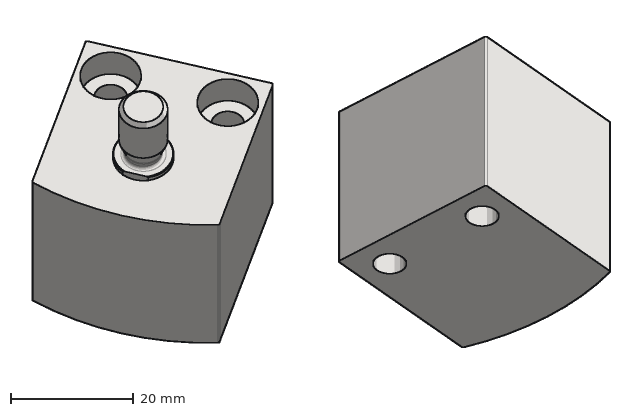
import cadquery as cq
import math

total_height = 43.5
block_width = 32.0
block_length = 33.9
block_height = 30.5
back_y = 21.0
front_y = back_y - block_length
front_radius = 50.02
corner_radius = 0.35

hole_spacing = 20.0
hole_y = back_y - 6.0
hole_diameter = 5.5
counterbore_diameter = 10.0
counterbore_depth = 5.6

shank_diameter = 10.0
socket_depth = 10.0
collar_height = 0.9
collar_chamfer = 0.15
flats_width = 9.0
neck_radius = 6.2 / 2
neck_fillet = 0.6
neck_top = 2.0
blend_radius = 1.0
cone_angle = math.radians(20)
head_radius = 8.0 / 2
head_chamfer = 0.75

socket_floor_z = block_height - socket_depth


def make_block():
    """Block with a convex front face, two counterbored holes and a round blind socket for the pin."""
    half_width = block_width / 2
    front_bulge = front_radius - math.sqrt(front_radius**2 - half_width**2)
    side_front_y = front_y + front_bulge
    body = (
        cq.Workplane("XY")
        .moveTo(-half_width, back_y)
        .lineTo(-half_width, side_front_y)
        .threePointArc((0, front_y), (half_width, side_front_y))
        .lineTo(half_width, back_y)
        .close()
        .extrude(block_height)
        .edges("|Z")
        .fillet(corner_radius)
    )
    top = body.faces(">Z").workplane(origin=(0, 0, block_height))
    body = top.pushPoints([(side * hole_spacing / 2, hole_y) for side in (-1, 1)]).cboreHole(
        hole_diameter, counterbore_diameter, counterbore_depth
    )
    socket = (
        cq.Workplane("XY", origin=(0, 0, socket_floor_z))
        .circle(shank_diameter / 2)
        .extrude(socket_depth)
    )
    return body.cut(socket)


def make_shank():
    """Shank from the socket floor to the collar, with flats on -Y and +Y that leave gaps in the socket."""
    shank_length = socket_depth + collar_height
    disc = (
        cq.Workplane("XY", origin=(0, 0, socket_floor_z))
        .circle(shank_diameter / 2)
        .extrude(shank_length)
        .faces(">Z")
        .chamfer(collar_chamfer)
    )
    flats = cq.Workplane("XY", origin=(0, 0, socket_floor_z)).box(
        shank_diameter, flats_width, shank_length, centered=(True, True, False)
    )
    return disc.intersect(flats)


def make_neck_and_head():
    """Revolved neck, flaring through a cone into the chamfered cylindrical head."""
    collar_z = block_height + collar_height
    neck_top_z = block_height + neck_top

    def blend_point(angle):
        """Point (radius, Z) on the concave arc that joins the neck to the cone."""
        return (
            neck_radius + blend_radius * (1 - math.cos(angle)),
            neck_top_z + blend_radius * math.sin(angle),
        )

    cone_start = blend_point(cone_angle)
    cone_height = (head_radius - cone_start[0]) / math.tan(cone_angle)
    fillet_inset = neck_fillet * (1 - math.sqrt(0.5))
    return (
        cq.Workplane("XZ")
        .moveTo(0, collar_z)
        .lineTo(neck_radius + neck_fillet, collar_z)
        .threePointArc(
            (neck_radius + fillet_inset, collar_z + fillet_inset),
            (neck_radius, collar_z + neck_fillet),
        )
        .lineTo(neck_radius, neck_top_z)
        .threePointArc(blend_point(cone_angle / 2), cone_start)
        .lineTo(head_radius, cone_start[1] + cone_height)
        .lineTo(head_radius, total_height - head_chamfer)
        .lineTo(head_radius - head_chamfer, total_height)
        .lineTo(0, total_height)
        .close()
        .revolve(360, (0, 0, 0), (0, 1, 0))
    )


def make_pin():
    """Flatted shank with the neck and head on top."""
    return make_shank().union(make_neck_and_head())


block = make_block()
pin = make_pin()
result = cq.Compound.makeCompound([block.val(), pin.val()])